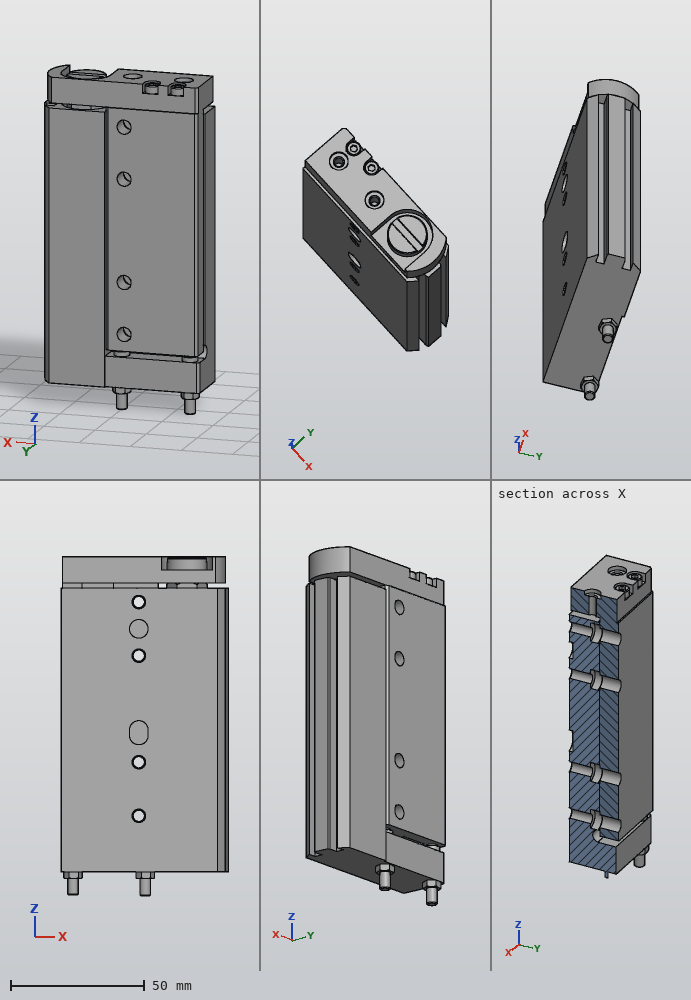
import cadquery as cq


housing_height = 106.0
housing_depth = 12.3
wall_depth = 20.9
wall_left = 36.8
table_front = 13.0
mid_y = 10.4
lip_height = 11.8
lip_depth = 20.0
lip_chamfer = 1.0
relief_radius = 2.5
relief_y = 12.7

side_corner_x = 58.5
outer_rib = (61.2, 6.7)
middle_rib = (61.6, 3.5)
side_right = 62.5
middle_rib_flat = 3.2
groove_depth = 4.8

rail_left = 7.7
rail_right = 19.7
rail_back = 15.8
rail_bottom = lip_height + 2 * relief_radius
rail_top = 82.3
pad_left = 28.3

hole_x = 29.0
hole_pitch = 20.0
hole_z_low = 20.9
hole_z_high = 80.8
hole_diameter = 4.2
hole_mouth_diameter = 5.1
counterbore_diameter = 8.0
counterbore_depth = 3.8
access_diameter = 5.5
dowel_diameter = 7.0
dowel_slot_length = 9.0
dowel_depth = 1.5
dowel_slot_rise = 11.0
dowel_hole_z = hole_z_high + hole_pitch / 2
dowel_slot_z = hole_z_low + hole_pitch + dowel_slot_rise

stop_stud_diameter = 4.0
stop_places = ((4.5, 17.0, 8.6), (31.5, 16.1, 9.0))
stop_nut_corner_diameter = 7.0
stop_nut_height = 2.5
stop_nut_turn = 6.0
stop_head_diameter = 6.0
stop_head_height = 1.8
stop_tip_diameter = 4.0
small_chamfer = 0.4

table_left = 0.5
table_right = 36.4
table_back = 21.0
table_bottom = 14.5
table_chamfer = 1.0

plate_bottom = 107.9
plate_top = 117.8
plate_front = 0.8
plate_back = 20.4
plate_shoulder_x = 57.7
plate_right = 61.5

screw_x = (9.0, 19.0)
screw_y = 17.5
notch_diameter = 6.0
notch_depth = 3.5
screw_head_diameter = 5.5
screw_head_height = 3.0
socket_corner_diameter = 2.8
socket_depth = 1.5
socket_turn = 30.0

tapped_x = (screw_x[0], hole_x)
tapped_y = 10.0
tapped_diameter = 3.3
tapped_mouth_diameter = 4.2
tapped_recess_diameter = 7.0
tapped_recess_depth = 1.6

adjuster_x = 47.0
adjuster_pocket_diameter = 19.0
adjuster_pocket_depth = 5.1
adjuster_diameter = 15.0
adjuster_drop = 0.5
adjuster_slot_width = 2.8
adjuster_slot_depth = 1.5
adjuster_nut_corner_diameter = 15.2
adjuster_nut_height = 4.8
adjuster_nut_chamfer = 0.6
adjuster_bore_diameter = 18.3
adjuster_bore_depth = 5.1


def box(x0, x1, y0, y1, z0, z1):
    return cq.Workplane("XY").box(x1 - x0, y1 - y0, z1 - z0, centered=False).translate((x0, y0, z0))


def cylinder(x, y, z0, z1, diameter):
    return cq.Workplane("XY", origin=(x, y, z0)).circle(diameter / 2).extrude(z1 - z0)


def cone(x, y, z0, z1, diameter0, diameter1):
    base = cq.Workplane("XY", origin=(x, y, z0)).circle(diameter0 / 2)
    return base.workplane(offset=z1 - z0).circle(diameter1 / 2).loft()


def cross_cylinder(x, z, y0, y1, diameter):
    """Cylinder along +Y from y0 to y1."""
    return cq.Workplane("XZ", origin=(x, y0, z)).circle(diameter / 2).extrude(y0 - y1)


def hexagon(x, y, z0, z1, corner_diameter, turn=0.0):
    prism = cq.Workplane("XY").polygon(6, corner_diameter).extrude(z1 - z0)
    return prism.rotate((0, 0, 0), (0, 0, 1), turn).translate((x, y, z0))


def housing_block():
    """Full-depth profile with the rounded, ribbed side at +X."""
    rib_x, rib_half = outer_rib
    mid_x, mid_half = middle_rib
    outline = [
        (0, 0),
        (side_corner_x, 0),
        (rib_x, mid_y - rib_half),
        (mid_x, mid_y - mid_half),
        (side_right, mid_y - middle_rib_flat),
        (side_right, mid_y + middle_rib_flat),
        (mid_x, mid_y + mid_half),
        (rib_x, mid_y + rib_half),
        (side_corner_x, wall_depth),
        (0, wall_depth),
    ]
    return cq.Workplane("XY").polyline(outline).close().extrude(housing_height)


def sensor_groove(side):
    """Groove along Z between the middle rib and an outer rib; side is +1 or -1."""
    y_inner = mid_y + side * middle_rib[1]
    y_outer = mid_y + side * outer_rib[1]
    y0, y1 = sorted((y_inner, y_outer))
    return box(side_right - groove_depth, side_right, y0, y1, 0, housing_height)


def table_space():
    """Room for the table, with a round relief at the foot of the slab."""
    space = box(0, wall_left, housing_depth, wall_depth, lip_height, housing_height)
    relief_z = lip_height + relief_radius
    relief = (
        cq.Workplane("YZ")
        .center(relief_y, relief_z)
        .circle(relief_radius)
        .extrude(wall_left)
    )
    return space.union(relief)


def lip_trim():
    """Sets the lip back from the wall and chamfers its outer corner."""
    strip = box(0, wall_left, lip_depth, wall_depth, 0, lip_height)
    corner = [(0, lip_depth - lip_chamfer), (lip_chamfer, lip_depth), (0, lip_depth)]
    return strip.union(cq.Workplane("XY").polyline(corner).close().extrude(lip_height))


def mounting_hole(z):
    chamfer_depth = (hole_mouth_diameter - hole_diameter) / 2
    hole = cross_cylinder(hole_x, z, 0, table_front, hole_diameter)
    mouth = (
        cq.Workplane("XZ", origin=(hole_x, 0, z))
        .circle(hole_mouth_diameter / 2)
        .workplane(offset=-chamfer_depth)
        .circle(hole_diameter / 2)
        .loft()
    )
    bore = cross_cylinder(hole_x, z, table_front - counterbore_depth, table_front, counterbore_diameter)
    return hole.union(mouth).union(bore)


def dowel_slot():
    slot = cq.Workplane("XZ", origin=(hole_x, 0, dowel_slot_z))
    return slot.slot2D(dowel_slot_length, dowel_diameter, 90).extrude(-dowel_depth)


def adjuster_bore():
    floor = housing_height - adjuster_bore_depth
    return cylinder(adjuster_x, mid_y, floor, housing_height, adjuster_bore_diameter)


def stop_screw(x, y, length):
    """Stud with a lock nut below the lip and a stepped stop head above it."""
    head_top = lip_height + stop_head_height
    stud = cylinder(x, y, -length, 0, stop_stud_diameter).faces("<Z").chamfer(small_chamfer)
    nut = hexagon(x, y, -stop_nut_height, 0, stop_nut_corner_diameter, stop_nut_turn)
    nut_blank = cylinder(x, y, -stop_nut_height, 0, stop_nut_corner_diameter)
    nut = nut.intersect(nut_blank.faces("<Z").chamfer(small_chamfer))
    head = cylinder(x, y, lip_height, head_top, stop_head_diameter)
    tip = cylinder(x, y, head_top, table_bottom, stop_tip_diameter)
    return stud.union(nut).union(head).union(tip)


hole_places_z = [
    hole_z_low,
    hole_z_low + hole_pitch,
    hole_z_high,
    hole_z_high + hole_pitch,
]


def make_housing():
    body = housing_block().cut(table_space()).cut(lip_trim())
    for side in (1, -1):
        body = body.cut(sensor_groove(side))
    body = body.union(box(rail_left, rail_right, housing_depth, rail_back, rail_bottom, rail_top))
    body = body.union(box(pad_left, wall_left, housing_depth, table_front, rail_bottom, housing_height))
    for z in hole_places_z:
        body = body.cut(mounting_hole(z))
    body = body.cut(cross_cylinder(hole_x, dowel_hole_z, 0, dowel_depth, dowel_diameter))
    body = body.cut(dowel_slot())
    body = body.cut(adjuster_bore())
    for x, y, length in stop_places:
        body = body.union(stop_screw(x, y, length))
    return body


def back_plate():
    plate = box(table_left, table_right, table_front, table_back, table_bottom, plate_bottom)
    plate = plate.edges("|Z and >Y").chamfer(table_chamfer)
    plate = plate.cut(box(rail_left, rail_right, table_front, rail_back, table_bottom, plate_bottom))
    for z in hole_places_z:
        plate = plate.cut(cross_cylinder(hole_x, z, table_front, table_back, access_diameter))
    return plate


def end_plate():
    middle = (plate_right, (plate_front + plate_back) / 2)
    return (
        cq.Workplane("XY", origin=(0, 0, plate_bottom))
        .moveTo(table_left, plate_front)
        .lineTo(plate_shoulder_x, plate_front)
        .threePointArc(middle, (plate_shoulder_x, plate_back))
        .lineTo(table_left + table_chamfer, plate_back)
        .lineTo(table_left, plate_back - table_chamfer)
        .close()
        .extrude(plate_top - plate_bottom)
    )


def open_pocket(x, y, y_open, diameter, depth):
    """Round-ended pocket in the plate top, running out in Y to y_open."""
    floor = plate_top - depth
    y0, y1 = sorted((y, y_open))
    channel = box(x - diameter / 2, x + diameter / 2, y0, y1, floor, plate_top)
    return channel.union(cylinder(x, y, floor, plate_top, diameter))


def plate_screw(x):
    floor = plate_top - notch_depth
    top = floor + screw_head_height
    head = cylinder(x, screw_y, floor, top, screw_head_diameter)
    head = head.faces(">Z").chamfer(small_chamfer)
    return head.cut(hexagon(x, screw_y, top - socket_depth, top, socket_corner_diameter, socket_turn))


def tapped_hole(x):
    floor = plate_top - tapped_recess_depth
    mouth_depth = (tapped_mouth_diameter - tapped_diameter) / 2
    recess = cylinder(x, tapped_y, floor, plate_top, tapped_recess_diameter)
    mouth = cone(x, tapped_y, floor - mouth_depth, floor, tapped_diameter, tapped_mouth_diameter)
    hole = cylinder(x, tapped_y, plate_bottom, floor, tapped_diameter)
    return recess.union(mouth).union(hole)


def adjuster():
    """Slotted head in the pocket and the lock nut under the end plate."""
    top = plate_top - adjuster_drop
    radius = adjuster_diameter / 2
    half_slot = adjuster_slot_width / 2
    head = cylinder(adjuster_x, mid_y, plate_top - adjuster_pocket_depth, top, adjuster_diameter)
    head = head.faces(">Z").chamfer(small_chamfer)
    slot = box(
        adjuster_x - radius, adjuster_x + radius,
        mid_y - half_slot, mid_y + half_slot,
        top - adjuster_slot_depth, top,
    )
    nut_bottom = plate_bottom - adjuster_nut_height
    nut = hexagon(adjuster_x, mid_y, nut_bottom, plate_bottom, adjuster_nut_corner_diameter)
    nut_blank = cylinder(adjuster_x, mid_y, nut_bottom, plate_bottom, adjuster_nut_corner_diameter)
    nut = nut.intersect(nut_blank.faces(">Z or <Z").chamfer(adjuster_nut_chamfer))
    return head.cut(slot), nut


def make_table():
    body = back_plate().union(end_plate())
    for x in screw_x:
        body = body.cut(open_pocket(x, screw_y, plate_back, notch_diameter, notch_depth))
        body = body.union(plate_screw(x))
    for x in tapped_x:
        body = body.cut(tapped_hole(x))
    body = body.cut(
        open_pocket(adjuster_x, mid_y, plate_front, adjuster_pocket_diameter, adjuster_pocket_depth)
    )
    head, nut = adjuster()
    return body.union(head).union(nut)


housing = make_housing()
table = make_table()

result = cq.Compound.makeCompound([housing.val(), table.val()])